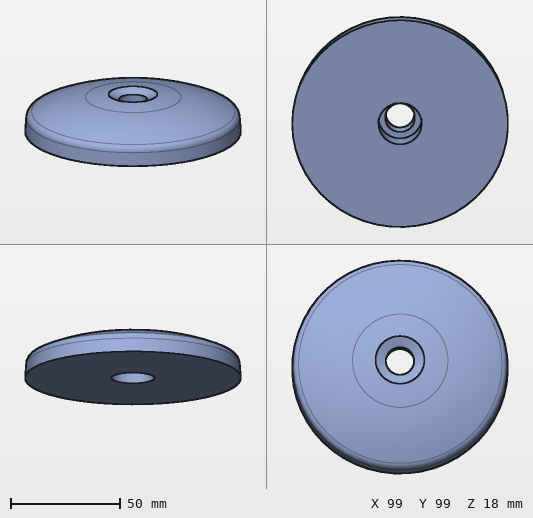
import cadquery as cq

base_radius = 49.5
wall_height = 6.5
wall_top_radius = 49.0

shoulder_mid_radius = 48.3
shoulder_mid_height = 8.5
dome_edge_radius = 46.6
dome_edge_height = 9.7

dome_mid_radius = 34.8
dome_mid_height = 14.1
crown_radius = 21.9
crown_height = 16.7
total_height = 18.0
crown_mid_height = 17.5

sink_radius = 11.2
sink_depth = 2.4
hole_radius = 6.4
hole_bottom_radius = 6.8
hole_length = 6.1
counterbore_radius = 9.9

crown_mid_radius = (crown_radius + sink_radius) / 2
hole_top = total_height - sink_depth
counterbore_depth = hole_top - hole_length

section = (
    cq.Workplane("XZ")
    .moveTo(counterbore_radius, 0)
    .lineTo(base_radius, 0)
    .lineTo(wall_top_radius, wall_height)
    .threePointArc((shoulder_mid_radius, shoulder_mid_height), (dome_edge_radius, dome_edge_height))
    .threePointArc((dome_mid_radius, dome_mid_height), (crown_radius, crown_height))
    .threePointArc((crown_mid_radius, crown_mid_height), (sink_radius, total_height))
    .lineTo(hole_radius, hole_top)
    .lineTo(hole_bottom_radius, counterbore_depth)
    .lineTo(counterbore_radius, counterbore_depth)
    .close()
)

result = section.revolve(360, (0, 0, 0), (0, 1, 0))